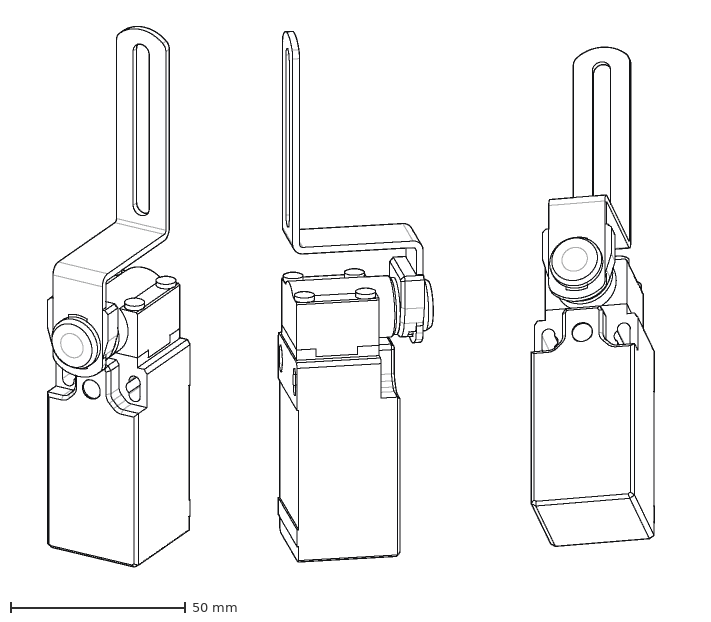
import cadquery as cq
import math


housing_width = 30.3
housing_depth = 30.3
back_relief = 0.5
ear_top = 60.5
ear_depth = 24.5
top_pad_bottom = 46.3
low_pad_bottom = 5.1
low_pad_top = 10.3
edge_chamfer = 1.01
corner_rise = 1.4
corner_run = 1.0
tongue_width = 11.8
tongue_top = 61.4
shoulder_height = 48.7
shoulder_chamfer = 3.0
shoulder_fillet = 2.6
mount_slot_x = 11.0
mount_slot_z = 53.6
mount_slot_width = 3.7
mount_slot_length = 8.0
mount_hole_x = 10.1
mount_hole_radius = 1.9
lamp_z = 53.2
lamp_radius = 3.0
lamp_recess = 0.6

head_width = 24.0
head_top = 77.7
seat_height = 63.6
tab_height = 61.3
tab_start = 6.0
tab_end = 18.2
head_chamfer = 0.5
axis_z = 71.2
boss_radius = 8.9
boss_end = 30.3
boss_chamfer = 0.6
screw_x = 9.0
screw_depths = (3.3, 21.1)
screw_radius = 2.88
screw_rim = 1.4
screw_dome = 0.8

lever_width = 16.5
lever_top = 155.5
lever_thickness = 2.0
lever_front = 38.1
lever_step_top = 93.3
lever_end_radius = 10.9
lever_corner_fillet = 3.1
bend_radius = 1.0
lever_slot_width = 5.3
lever_slot_bottom = 97.0
lever_slot_top = 150.8

hub_half_width = 10.1
hub_back = 31.4
hub_top = 83.0
hub_radius = 9.0
hub_flat_bottom = 73.5
hub_chamfer = 1.1
neck_radius = 8.2

nut_radius = 7.6
nut_rim_end = 39.8
nut_face = 41.4
nut_chamfer = 1.0
nut_dome_radius = 3.7
nut_dome_height = 0.6
key_width = 6.2
key_radius = 8.4
key_inner = 5.8
key_start = 34.2
key_slot_width = 14

lever_back = lever_front - lever_thickness


def at_depth(depth):
    """Plane parallel to the front, at a depth; extrusions go towards the front."""
    return cq.Workplane("XZ", origin=(0, -depth, 0))


def front_box(x0, x1, z0, z1, start, end):
    """Box between two X places, two heights and two depths."""
    return cq.Workplane("XY").box(x1 - x0, end - start, z1 - z0, centered=False).translate((x0, -end, z0))


def front_cylinder(x, z, radius, start, end):
    """Cylinder along Y between two depths."""
    return at_depth(start).center(x, z).circle(radius).extrude(end - start)


def dome(radius, height):
    """Spherical cap on the XY plane, rising along +Z."""
    profile = cq.Workplane("XZ").lineTo(radius, 0)
    cap_radius = (radius**2 + height**2) / (2 * height)
    half_angle = math.asin(radius / cap_radius) / 2
    middle = (cap_radius * math.sin(half_angle), height - cap_radius * (1 - math.cos(half_angle)))
    return profile.threePointArc(middle, (0, height)).close().revolve(360, (0, 0), (0, 1))


def front_dome(z, radius, height, depth):
    """Spherical cap on a front plane at a depth, bulging towards the front."""
    return dome(radius, height).rotate((0, 0, 0), (1, 0, 0), 90).translate((0, -depth, z))


def shoulder_cutter(side):
    """Space above one shoulder, in front of an ear, with an eased inner corner."""
    inner = tongue_width / 2
    outer = housing_width
    cutter = front_box(inner, outer, shoulder_height, head_top, ear_depth, housing_depth + 1.5)
    cutter = cutter.edges("|Y and <X and <Z").chamfer(shoulder_chamfer)
    corner = cq.selectors.BoxSelector(
        (inner - 0.2, -housing_depth - 3.1, shoulder_height - 0.2),
        (inner + shoulder_chamfer + 0.2, 0, shoulder_height + shoulder_chamfer + 0.2),
    )
    cutter = cutter.edges("|Y").edges(corner).fillet(shoulder_fillet)
    return cutter if side > 0 else cutter.mirror("YZ")


def chamfered_block(width, bottom, top, start, end):
    """Block whose two upper side edges are chamfered."""
    half = width / 2
    outline = [
        (-half, bottom),
        (half, bottom),
        (half, top - corner_rise),
        (half - corner_run, top),
        (corner_run - half, top),
        (-half, top - corner_rise),
    ]
    return at_depth(start).polyline(outline).close().extrude(end - start)


def make_housing():
    half = housing_width / 2
    body = chamfered_block(housing_width, 0, ear_top, 0, ear_depth)
    body = body.union(front_box(-half, half, 0, shoulder_height + shoulder_chamfer + 1.5, ear_depth, housing_depth))
    body = body.union(chamfered_block(tongue_width, 0, tongue_top, ear_depth, housing_depth))
    for side in (-1, 1):
        body = body.cut(shoulder_cutter(side))
    body = body.edges("|Y and <Z").chamfer(corner_rise, corner_run)
    body = body.faces("<Y").edges().chamfer(edge_chamfer)

    for low, high in ((low_pad_top, top_pad_bottom), (0, low_pad_bottom)):
        body = body.cut(front_box(-half, half, low, high, 0, back_relief))

    half_head = head_width / 2
    body = body.union(front_box(-half_head, half_head, ear_top - 1.5, seat_height, back_relief, ear_depth))
    body = body.cut(front_box(-half_head, half_head, tab_height, seat_height, tab_start, tab_end))

    for side in (-1, 1):
        slot = at_depth(0).center(side * mount_slot_x, mount_slot_z)
        body = body.cut(slot.slot2D(mount_slot_length, mount_slot_width, 90).extrude(ear_depth))
        body = body.cut(front_cylinder(side * mount_hole_x, mount_slot_z, mount_hole_radius, 0, ear_depth))

    lamp_floor = housing_depth - lamp_recess
    body = body.cut(front_cylinder(0, lamp_z, lamp_radius, lamp_floor, housing_depth))
    return body.union(front_dome(lamp_z, lamp_radius, lamp_recess, lamp_floor))


def make_head():
    half = head_width / 2
    head = front_box(-half, half, seat_height, head_top, back_relief, ear_depth)
    head = head.edges("|Y and >Z").chamfer(head_chamfer)
    hump = front_cylinder(0, axis_z, boss_radius, back_relief, ear_depth)
    head = head.union(hump.intersect(front_box(-half, half, axis_z, lever_step_top, 0, ear_depth)))
    head = head.union(front_box(-half, half, tab_height, axis_z, tab_start, tab_end))
    boss = front_cylinder(0, axis_z, boss_radius, ear_depth, boss_end).faces("<Y").edges().chamfer(boss_chamfer)
    head = head.union(boss)
    screw = cq.Workplane("XY").circle(screw_radius).extrude(screw_rim)
    screw = screw.union(dome(screw_radius, screw_dome).translate((0, 0, screw_rim)))
    for side in (-1, 1):
        for depth in screw_depths:
            head = head.union(screw.translate((side * screw_x, -depth, head_top)))
    return head


def make_keys():
    """Two keys, above and below the axis, with ends rounded about the axis."""
    half = key_width / 2
    bars = front_box(-half, half, key_inner, key_radius, key_start, lever_front)
    bars = bars.union(bars.mirror("XY")).translate((0, 0, axis_z))
    return bars.intersect(front_cylinder(0, axis_z, key_radius, key_start, lever_front))


def make_nut():
    nut = front_cylinder(0, axis_z, nut_radius, lever_front, nut_face)
    nut = nut.faces("<Y").edges().chamfer(nut_face - nut_rim_end, nut_chamfer)
    nut = nut.union(front_dome(axis_z, nut_dome_radius, nut_dome_height, nut_face))
    return nut.union(make_keys())


def make_hub():
    flat_drop = hub_flat_bottom - axis_z
    tangent_angle = math.atan2(flat_drop, hub_half_width) - math.acos(
        hub_radius / math.hypot(hub_half_width, flat_drop)
    )
    tangent_x = hub_radius * math.cos(tangent_angle)
    tangent_z = axis_z + hub_radius * math.sin(tangent_angle)
    hub = (
        at_depth(hub_back)
        .moveTo(hub_half_width, hub_flat_bottom)
        .lineTo(hub_half_width, hub_top - hub_chamfer)
        .lineTo(hub_half_width - hub_chamfer, hub_top)
        .lineTo(hub_chamfer - hub_half_width, hub_top)
        .lineTo(-hub_half_width, hub_top - hub_chamfer)
        .lineTo(-hub_half_width, hub_flat_bottom)
        .lineTo(-tangent_x, tangent_z)
        .threePointArc((0, axis_z - hub_radius), (tangent_x, tangent_z))
        .close()
        .extrude(lever_front - hub_back)
    )
    hub = hub.faces(">Y").edges().chamfer(hub_chamfer)
    hub = hub.union(front_cylinder(0, axis_z, neck_radius, boss_end, hub_back))

    half = lever_width / 2
    hub = hub.cut(front_box(-half, half, 0, lever_step_top, lever_back, lever_front))

    slot_half = key_slot_width / 2
    slot = front_box(-slot_half, slot_half, key_inner, key_radius, key_start, lever_back)
    slots = slot.union(slot.mirror("XY")).translate((0, 0, axis_z))
    return hub.cut(slots)


def make_lever():
    half = lever_width / 2
    step_bottom = lever_step_top - lever_thickness
    lever = front_box(-half, half, step_bottom, lever_top, 0, lever_thickness)
    lever = lever.union(front_box(-half, half, step_bottom, lever_step_top, 0, lever_front))
    lever = lever.union(front_box(-half, half, 0, lever_step_top, lever_back, lever_front))
    outer_bend = bend_radius + lever_thickness
    bends = (
        (0, step_bottom, outer_bend),
        (lever_thickness, lever_step_top, bend_radius),
        (lever_back, step_bottom, bend_radius),
        (lever_front, lever_step_top, outer_bend),
    )
    for depth, height, radius in bends:
        lever = lever.edges(cq.NearestToPointSelector((0, -depth, height))).fillet(radius)

    corner_offset = math.sqrt(lever_end_radius**2 - half**2)
    low_corner = axis_z - corner_offset
    high_corner = lever_top - lever_end_radius + corner_offset
    silhouette = (
        at_depth(0)
        .moveTo(-half, low_corner)
        .threePointArc((0, axis_z - lever_end_radius), (half, low_corner))
        .lineTo(half, high_corner)
        .threePointArc((0, lever_top), (-half, high_corner))
        .close()
        .extrude(lever_front)
        .edges("|Y")
        .fillet(lever_corner_fillet)
    )
    lever = lever.intersect(silhouette)

    slot_middle = (lever_slot_bottom + lever_slot_top) / 2
    slot_length = lever_slot_top - lever_slot_bottom
    slot = at_depth(0).center(0, slot_middle).slot2D(slot_length, lever_slot_width, 90)
    lever = lever.cut(slot.extrude(lever_thickness))
    return lever.cut(make_keys())


housing = make_housing()
head = make_head()
hub = make_hub()
lever = make_lever()
nut = make_nut()

result = cq.Compound.makeCompound([housing.val(), head.val(), hub.val(), lever.val(), nut.val()])